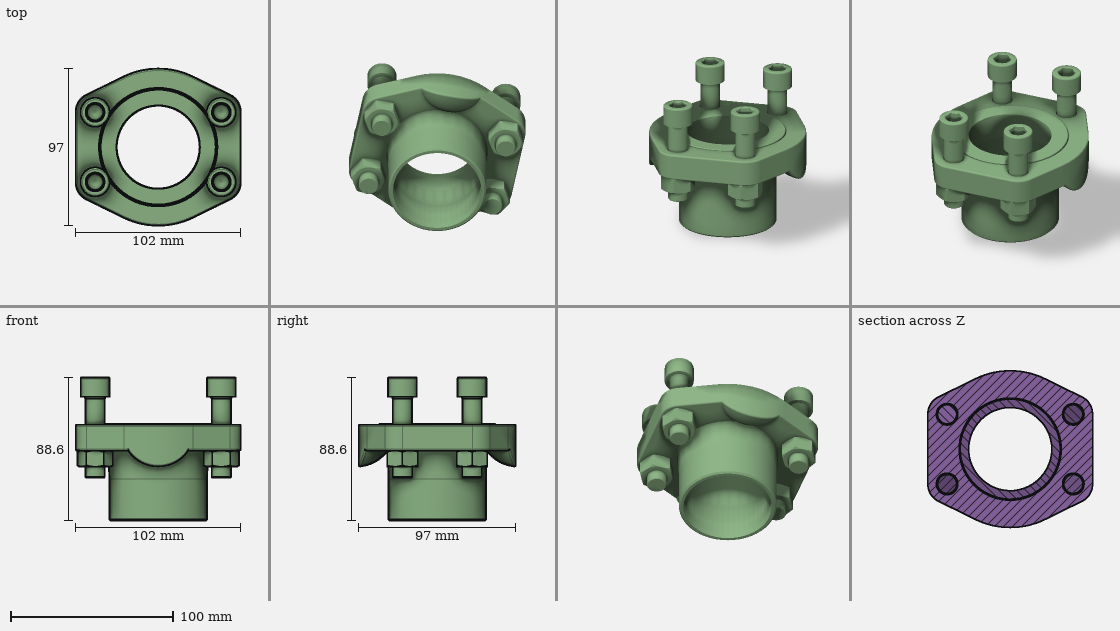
import cadquery as cq
import math

BOLT_SPACING_X = 77.8
BOLT_SPACING_Y = 42.9
SHANK_DIAMETER = 12.0
SHANK_LENGTH = 50.0
SHANK_END_CHAMFER = 0.5
HEAD_DIAMETER = 18.0
HEAD_HEIGHT = 12.0
HEAD_ROUNDING = 1.0
NECK_DIAMETER = 13.0
NECK_HEIGHT = 1.2
SOCKET_ACROSS_FLATS = 10.0
SOCKET_DEPTH = 6.0
SOCKET_TURN = 15
SOCKET_TIP_ANGLE = 120
SOCKET_CHAMFER_DIAMETER = 11.7
SOCKET_CHAMFER_ANGLE = 30
NUT_ACROSS_FLATS = 19.0
NUT_HEIGHT = 10.0
NUT_TURN = 30
NUT_CHAMFER_ANGLE = 30
HEX_HALF_ANGLE = 30

FLANGE_LENGTH = 102.0
FLANGE_WIDTH = 97.0
FLANGE_THICKNESS = 16.0
FLANGE_EDGE_ROUNDING = 1.0
BOLT_HOLE_DIAMETER = 13.0
FLANGE_BORE = 62.7
RECESS_DIAMETER = 72.2
RECESS_DEPTH = 10.0
RECESS_CHAMFER = 0.5
LUG_RADIUS = 24.0
LUG_DROP = 10.0
LUG_OVERLAP = 5.1
LUG_OFFSET = 50.0

EDGE_BOX_INNER_Y = 35.7
EDGE_BOX_OUTER_Y = 51.0
EDGE_BOX_TOP_GAP = 0.5

TUBE_LENGTH = 60.0
COLLAR_DIAMETER = 71.4
COLLAR_PROTRUSION = 0.5
COLLAR_CHAMFER = 0.3
NECK_OUTER_DIAMETER = 62.0
PIPE_OUTER_DIAMETER = 60.3
PIPE_LENGTH = 26.0
PIPE_END_CHAMFER = 1.0
MOUTH_BORE = 51.0
PIPE_BORE = 54.5
MOUTH_CHAMFER = 0.3

FLANGE_TOP = TUBE_LENGTH - COLLAR_PROTRUSION
FLANGE_BOTTOM = FLANGE_TOP - FLANGE_THICKNESS
RECESS_FLOOR = FLANGE_TOP - RECESS_DEPTH
HEAD_SEAT = 76.6

BOLT_CENTRES = [
    (side_x * BOLT_SPACING_X / 2, side_y * BOLT_SPACING_Y / 2)
    for side_x in (-1, 1)
    for side_y in (-1, 1)
]


def cylinder(diameter, bottom, top):
    return cq.Workplane("XY").workplane(offset=bottom).circle(diameter / 2).extrude(top - bottom)


def cone(bottom_radius, top_radius, bottom, top):
    base = cq.Vector(0, 0, bottom)
    return cq.Workplane(cq.Solid.makeCone(bottom_radius, top_radius, top - bottom, pnt=base))


def hexagon(across_flats, bottom, top, turn):
    """Hexagonal prism on the Z axis; at zero turn two corners lie on the Y axis."""
    base = cq.Workplane("XY").workplane(offset=bottom)
    prism = base.polygon(6, across_flats, circumscribed=True).extrude(top - bottom)
    return prism.rotate((0, 0, 0), (0, 0, 1), turn)


def revolve_about_z(profile):
    return profile.close().revolve(360, (0, 0, 0), (0, 1, 0))


def flange_outline():
    """Closed outline: end flats, corner arcs about the bolts, tangent flanks, two large arcs."""
    big_radius = FLANGE_WIDTH / 2
    bolt_x = BOLT_SPACING_X / 2
    bolt_y = BOLT_SPACING_Y / 2
    corner_radius = FLANGE_LENGTH / 2 - bolt_x
    bolt_angle = math.atan2(bolt_y, bolt_x)
    centre_distance = math.hypot(bolt_x, bolt_y)
    normal_angle = bolt_angle + math.acos((big_radius - corner_radius) / centre_distance)

    def corner_point(angle):
        return (bolt_x + corner_radius * math.cos(angle), bolt_y + corner_radius * math.sin(angle))

    end_x, end_y = corner_point(0)
    mid_x, mid_y = corner_point(normal_angle / 2)
    flank_x, flank_y = corner_point(normal_angle)
    crown_x = big_radius * math.cos(normal_angle)
    crown_y = big_radius * math.sin(normal_angle)
    return (
        cq.Workplane("XY")
        .moveTo(end_x, -end_y)
        .lineTo(end_x, end_y)
        .threePointArc((mid_x, mid_y), (flank_x, flank_y))
        .lineTo(crown_x, crown_y)
        .threePointArc((0, big_radius), (-crown_x, crown_y))
        .lineTo(-flank_x, flank_y)
        .threePointArc((-mid_x, mid_y), (-end_x, end_y))
        .lineTo(-end_x, -end_y)
        .threePointArc((-mid_x, -mid_y), (-flank_x, -flank_y))
        .lineTo(-crown_x, -crown_y)
        .threePointArc((0, -big_radius), (crown_x, -crown_y))
        .lineTo(flank_x, -flank_y)
        .threePointArc((mid_x, -mid_y), (end_x, -end_y))
        .close()
    )


def lug_dome():
    """Lower cap of a ball on the Z axis, cut off flat inside the plate."""
    lug_bottom = FLANGE_BOTTOM - LUG_DROP
    cap_top = FLANGE_BOTTOM + LUG_OVERLAP
    cap_height = LUG_DROP + LUG_OVERLAP
    cap_radius = math.sqrt(LUG_RADIUS**2 - (LUG_RADIUS - cap_height) ** 2)
    profile = (
        cq.Workplane("XZ")
        .moveTo(0, lug_bottom)
        .radiusArc((cap_radius, cap_top), -LUG_RADIUS)
        .lineTo(0, cap_top)
    )
    return revolve_about_z(profile)


def make_lug(side):
    """Part of the dome inside the large arc on one side, its lower outer edge rounded."""
    crown_column = cylinder(FLANGE_WIDTH, 0, FLANGE_TOP)
    lug = lug_dome().translate((0, side * LUG_OFFSET, 0)).intersect(crown_column)
    half_length = FLANGE_LENGTH / 2
    lower_edge = cq.selectors.BoxSelector(
        (-half_length, side * EDGE_BOX_INNER_Y, 0),
        (half_length, side * EDGE_BOX_OUTER_Y, FLANGE_BOTTOM - EDGE_BOX_TOP_GAP),
    )
    return lug.edges(lower_edge).fillet(FLANGE_EDGE_ROUNDING)


def make_flange():
    flange = flange_outline().extrude(FLANGE_THICKNESS).translate((0, 0, FLANGE_BOTTOM))
    flange = flange.faces("<Z or >Z").edges().fillet(FLANGE_EDGE_ROUNDING)
    for side in (-1, 1):
        flange = flange.union(make_lug(side))

    recess_radius = RECESS_DIAMETER / 2
    rim_bottom = FLANGE_TOP - RECESS_CHAMFER
    flange = flange.cut(cylinder(FLANGE_BORE, 0, FLANGE_TOP))
    flange = flange.cut(cylinder(RECESS_DIAMETER, RECESS_FLOOR, FLANGE_TOP))
    flange = flange.cut(cone(recess_radius, recess_radius + RECESS_CHAMFER, rim_bottom, FLANGE_TOP))

    for x, y in BOLT_CENTRES:
        flange = flange.cut(cylinder(BOLT_HOLE_DIAMETER, 0, FLANGE_TOP).translate((x, y, 0)))
    return flange


def make_tube():
    """Collared tube that tapers outside and widens inside towards the pipe end."""
    pipe_radius = PIPE_OUTER_DIAMETER / 2
    neck_radius = NECK_OUTER_DIAMETER / 2
    collar_radius = COLLAR_DIAMETER / 2
    mouth_radius = MOUTH_BORE / 2
    profile = (
        cq.Workplane("XZ")
        .moveTo(PIPE_BORE / 2, 0)
        .lineTo(pipe_radius - PIPE_END_CHAMFER, 0)
        .lineTo(pipe_radius, PIPE_END_CHAMFER)
        .lineTo(pipe_radius, PIPE_LENGTH)
        .lineTo(neck_radius, FLANGE_BOTTOM)
        .lineTo(neck_radius, RECESS_FLOOR)
        .lineTo(collar_radius, RECESS_FLOOR)
        .lineTo(collar_radius, TUBE_LENGTH - COLLAR_CHAMFER)
        .lineTo(collar_radius - COLLAR_CHAMFER, TUBE_LENGTH)
        .lineTo(mouth_radius + MOUTH_CHAMFER, TUBE_LENGTH)
        .lineTo(mouth_radius, TUBE_LENGTH - MOUTH_CHAMFER)
        .lineTo(mouth_radius, FLANGE_BOTTOM)
        .lineTo(PIPE_BORE / 2, PIPE_LENGTH)
    )
    return revolve_about_z(profile)


def make_bolt():
    shank_radius = SHANK_DIAMETER / 2
    head_radius = HEAD_DIAMETER / 2
    head_top = HEAD_SEAT + HEAD_HEIGHT
    shank_end = HEAD_SEAT - SHANK_LENGTH
    profile = (
        cq.Workplane("XZ")
        .moveTo(0, shank_end)
        .lineTo(shank_radius - SHANK_END_CHAMFER, shank_end)
        .lineTo(shank_radius, shank_end + SHANK_END_CHAMFER)
        .lineTo(shank_radius, HEAD_SEAT - NECK_HEIGHT)
        .lineTo(NECK_DIAMETER / 2, HEAD_SEAT)
        .lineTo(head_radius, HEAD_SEAT)
        .lineTo(head_radius, head_top - HEAD_ROUNDING)
        .radiusArc((head_radius - HEAD_ROUNDING, head_top), -HEAD_ROUNDING)
        .lineTo(0, head_top)
    )
    body = revolve_about_z(profile)

    socket_floor = head_top - SOCKET_DEPTH
    socket = hexagon(SOCKET_ACROSS_FLATS, socket_floor, head_top, SOCKET_TURN)
    tip_radius = SOCKET_ACROSS_FLATS / 2
    tip_depth = tip_radius / math.tan(math.radians(SOCKET_TIP_ANGLE / 2))
    tip = cone(0, tip_radius, socket_floor - tip_depth, socket_floor)
    mouth_radius = SOCKET_CHAMFER_DIAMETER / 2
    mouth_depth = mouth_radius * math.tan(math.radians(SOCKET_CHAMFER_ANGLE))
    mouth = cone(0, mouth_radius, head_top - mouth_depth, head_top)
    return body.cut(socket).cut(tip).cut(mouth)


def make_nut():
    """Hexagon nut under the flange, its corners chamfered at both ends."""
    nut_bottom = FLANGE_BOTTOM - NUT_HEIGHT
    flat_radius = NUT_ACROSS_FLATS / 2
    corner_radius = flat_radius / math.cos(math.radians(HEX_HALF_ANGLE))
    chamfer_height = (corner_radius - flat_radius) * math.tan(math.radians(NUT_CHAMFER_ANGLE))
    profile = (
        cq.Workplane("XZ")
        .moveTo(0, nut_bottom)
        .lineTo(flat_radius, nut_bottom)
        .lineTo(corner_radius, nut_bottom + chamfer_height)
        .lineTo(corner_radius, FLANGE_BOTTOM - chamfer_height)
        .lineTo(flat_radius, FLANGE_BOTTOM)
        .lineTo(0, FLANGE_BOTTOM)
    )
    chamfered_disc = revolve_about_z(profile)
    nut = hexagon(NUT_ACROSS_FLATS, nut_bottom, FLANGE_BOTTOM, NUT_TURN).intersect(chamfered_disc)
    return nut.cut(cylinder(SHANK_DIAMETER, 0, FLANGE_TOP))


flange = make_flange()
tube = make_tube()
bolts = [make_bolt().translate((x, y, 0)).val() for x, y in BOLT_CENTRES]
nuts = [make_nut().translate((x, y, 0)).val() for x, y in BOLT_CENTRES]
result = cq.Compound.makeCompound([flange.val(), tube.val(), *bolts, *nuts])